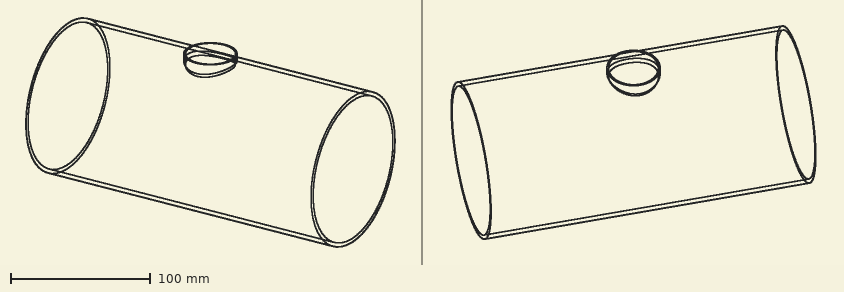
import cadquery as cq

pipe_length = 240.0
pipe_outer_diameter = 114.2
pipe_inner_diameter = 108.2

stub_outer_diameter = 38.2
stub_inner_diameter = 35.8
stub_projection = 4.8
stub_top = pipe_outer_diameter / 2 + stub_projection


def pipe_cylinder(diameter):
    """Full-length cylinder along X, centred on the origin."""
    return cq.Workplane("YZ").circle(diameter / 2).extrude(pipe_length / 2, both=True)


def stub_cylinder(diameter):
    """Upright cylinder from the pipe axis to the top of the stub."""
    return cq.Workplane("XY").circle(diameter / 2).extrude(stub_top)


outer_body = pipe_cylinder(pipe_outer_diameter).union(stub_cylinder(stub_outer_diameter))
result = outer_body.cut(pipe_cylinder(pipe_inner_diameter)).cut(stub_cylinder(stub_inner_diameter))